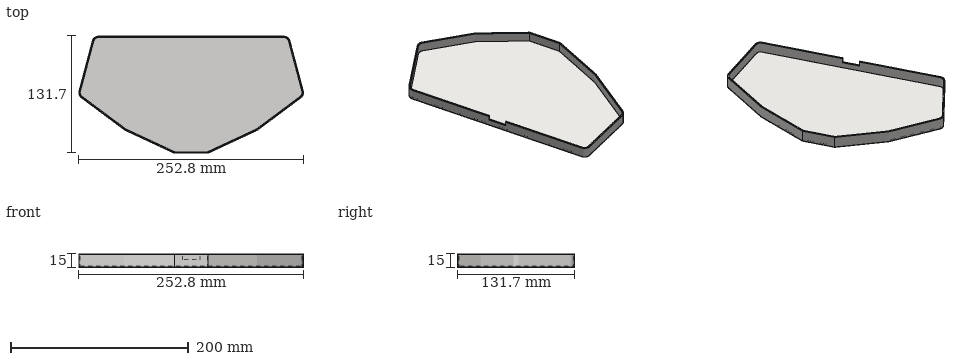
import cadquery as cq
import math

width = 252.8
depth = 131.7
height = 15.0

wall = 1.5
floor_thickness = 1.5
corner_radius = 7.0

front_half_length = 18.8
bend_x = 74.5
front_edge_angle = math.radians(25.0)
bend_y = (bend_x - front_half_length) * math.tan(front_edge_angle)
outer_edge_angle = math.radians(36.7)
side_lean = math.radians(14.9)

notch_width = 20.0
notch_depth = 6.0


def side_corner():
    """Sharp corner between slanted front edge and side, before rounding to the full width."""
    arc_center_x = width / 2 - corner_radius
    arc_center_y = (
        bend_y
        + (arc_center_x - bend_x) * math.tan(outer_edge_angle)
        + corner_radius / math.cos(outer_edge_angle)
    )
    front_normal = outer_edge_angle - math.pi / 2
    bisector = (front_normal + side_lean) / 2
    reach = corner_radius / math.cos((side_lean - front_normal) / 2)
    return arc_center_x + reach * math.cos(bisector), arc_center_y + reach * math.sin(bisector)


def outline_points():
    """Sharp-cornered outline, counter-clockwise from the front edge."""
    side_x, side_y = side_corner()
    back_x = side_x - (depth - side_y) * math.tan(side_lean)
    right_half = [(front_half_length, 0), (bend_x, bend_y), (side_x, side_y), (back_x, depth)]
    left_half = [(-x, y) for x, y in reversed(right_half)]
    return right_half + left_half


def rounded_block():
    """Solid block with the side and back corners rounded."""
    block = cq.Workplane("XY").polyline(outline_points()).close().extrude(height)
    behind_bend = cq.selectors.BoxSelector((-width, bend_y + wall, 0), (width, depth + wall, height))
    return block.edges("|Z").edges(behind_bend).fillet(corner_radius)


def hollow(block):
    """Remove the inside, leaving the floor and an even wall, open at the top."""
    rim = block.faces(">Z").wires().toPending()
    cavity = rim.workplane().offset2D(-wall).extrude(floor_thickness - height, combine=False)
    return block.cut(cavity)


def cut_notch(tray):
    """Cut the notch down from the rim in the middle of the back wall."""
    notch = cq.Workplane("XY").box(notch_width, 2 * wall, 2 * notch_depth)
    return tray.cut(notch.translate((0, depth, height)))


result = cut_notch(hollow(rounded_block()))